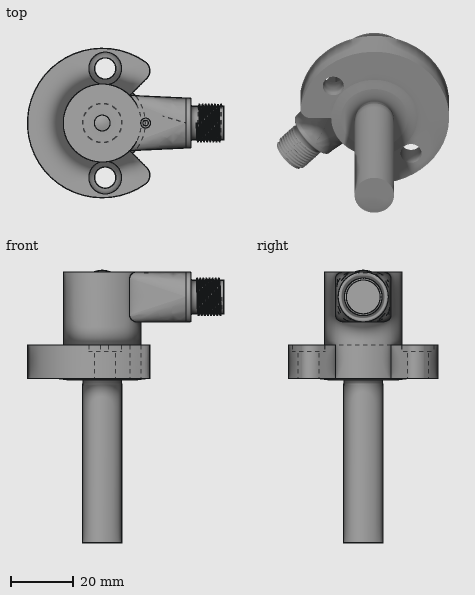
import cadquery as cq
import math

probe_diameter = 12.7
probe_radius = probe_diameter / 2
neck_radius = 6.2
neck_bottom_z = 51.1
neck_taper = 0.6

flange_diameter = 48.0
flange_radius = flange_diameter / 2
flange_bottom_z = 52.6
flange_top_z = 63.45
flange_thickness = flange_top_z - flange_bottom_z
notch_half_angle = 45
ear_tip_radius = 3.5

boss_top_radius = 13.8
boss_bottom_radius = 10.7
boss_height = 0.4

hole_x = 1.0
hole_y = 17.5
hole_diameter = 6.7
counterbore_diameter = 10.5
counterbore_depth = 2.2

total_height = 87.4
housing_radius = 12.5
housing_top_z = 86.9
dome_radius = 2.5

collar_radius = 8.0
outlet_axis_z = housing_top_z - collar_radius
outlet_root_x = 4.4
outlet_root_half_width = 9.1
outlet_root_corner = 0.7
collar_start_x = 26.8
collar_end_x = 28.5
collar_rounding = 0.5
tip_flat = 0.02

ring_x = 13.9
ring_outer_radius = 1.6
ring_inner_radius = 0.9
ring_depth = 0.35

overall_length_x = 63.0
connector_end_x = overall_length_x - flange_radius
connector_radius = 5.4
connector_root_fillet = 0.35
thread_radius = 6.0
thread_start_x = 30.4
thread_turns = 7.75
thread_length = 7.7
thread_pitch = thread_length / thread_turns
thread_base_width = 0.8
thread_crest_width = 0.2
thread_overlap = 0.2


def cylinder(radius, bottom_z, top_z):
    return cq.Workplane("XY").workplane(offset=bottom_z).circle(radius).extrude(top_z - bottom_z)


def plane_across_x(x):
    """Workplane across the outlet, centred on its axis and facing +X."""
    return cq.Workplane(cq.Plane(origin=(x, 0, outlet_axis_z), xDir=(0, 1, 0), normal=(1, 0, 0)))


def cylinder_along_x(radius, start_x, end_x):
    return plane_across_x(start_x).circle(radius).extrude(end_x - start_x)


def make_probe():
    """Rod, neck and the tapered boss under the flange, turned about Z."""
    return (
        cq.Workplane("XZ")
        .moveTo(0, 0)
        .lineTo(probe_radius, 0)
        .lineTo(probe_radius, neck_bottom_z - neck_taper)
        .lineTo(neck_radius, neck_bottom_z)
        .lineTo(neck_radius, flange_bottom_z - boss_height)
        .lineTo(boss_bottom_radius, flange_bottom_z - boss_height)
        .lineTo(boss_top_radius, flange_bottom_z)
        .lineTo(0, flange_bottom_z)
        .close()
        .revolve(360, (0, 0), (0, 1))
    )


def make_flange():
    """Notched disc with rounded ear tips and counterbored holes."""
    reach = 2 * flange_radius
    notch_y = reach * math.tan(math.radians(notch_half_angle))
    notch = (
        cq.Workplane("XY")
        .workplane(offset=flange_bottom_z)
        .polyline([(0, 0), (reach, -notch_y), (reach, notch_y)])
        .close()
        .extrude(flange_thickness)
    )
    flange = cylinder(flange_radius, flange_bottom_z, flange_top_z).cut(notch)
    ear_tips = cq.selectors.BoxSelector(
        (housing_radius, -flange_radius, flange_bottom_z),
        (flange_radius, flange_radius, flange_top_z),
    )
    flange = flange.edges("|Z").edges(ear_tips).fillet(ear_tip_radius)
    return (
        flange.faces(">Z")
        .workplane(origin=(0, 0, flange_top_z))
        .pushPoints([(hole_x, -hole_y), (hole_x, hole_y)])
        .cboreHole(hole_diameter, counterbore_diameter, counterbore_depth)
    )


def make_dome():
    """Spherical cap standing on the housing."""
    height = total_height - housing_top_z
    sphere_radius = (dome_radius**2 + height**2) / (2 * height)
    sphere_z = total_height - sphere_radius
    middle = (dome_radius / 2, sphere_z + math.sqrt(sphere_radius**2 - (dome_radius / 2) ** 2))
    return (
        cq.Workplane("XZ")
        .moveTo(0, housing_top_z)
        .lineTo(dome_radius, housing_top_z)
        .threePointArc(middle, (0, total_height))
        .close()
        .revolve(360, (0, 0), (0, 1))
    )


def rounded_section(half_width, corner):
    """Rounded rectangle as tall as the collar."""
    return cq.Sketch().rect(2 * half_width, 2 * collar_radius).vertices().fillet(corner)


def make_outlet():
    """Straight-sided blend whose four flats run out to points at a round collar."""
    root = rounded_section(outlet_root_half_width, outlet_root_corner)
    tip = rounded_section(collar_radius, collar_radius - tip_flat)
    length = collar_start_x - outlet_root_x
    body = (
        plane_across_x(outlet_root_x)
        .placeSketch(root, tip.moved(cq.Location(cq.Vector(0, 0, length))))
        .loft(ruled=True)
    )
    collar = cylinder_along_x(collar_radius, collar_start_x, collar_end_x)
    return body.union(collar.faces(">X").edges().fillet(collar_rounding))


def make_ring_groove():
    """Shallow annular groove, leaving a round land in its middle."""
    bottom_z = housing_top_z - ring_depth
    ring = cylinder(ring_outer_radius, bottom_z, housing_top_z)
    ring = ring.cut(cylinder(ring_inner_radius, bottom_z, housing_top_z))
    return ring.translate((ring_x, 0, 0))


def make_thread():
    """Helical ridge of trapezoidal section around the X axis."""
    root_radius = connector_radius - thread_overlap
    helix = cq.Wire.makeHelix(thread_pitch, thread_length, root_radius)
    ridge = (
        cq.Workplane("XZ")
        .polyline(
            [
                (root_radius, -thread_base_width / 2),
                (thread_radius, -thread_crest_width / 2),
                (thread_radius, thread_crest_width / 2),
                (root_radius, thread_base_width / 2),
            ]
        )
        .close()
        .sweep(cq.Workplane(helix), isFrenet=True)
    )
    ridge = ridge.rotate((0, 0, 0), (0, 0, 1), 180).rotate((0, 0, 0), (0, 1, 0), 90)
    return ridge.translate((thread_start_x, 0, outlet_axis_z))


def make_connector():
    """Threaded stub standing on a disc inside the collar, with a rounded root."""
    foot = cylinder_along_x(collar_radius - collar_rounding, collar_start_x, collar_end_x)
    stub = cylinder_along_x(connector_radius, collar_start_x, connector_end_x)
    root_edge = cq.selectors.RadiusNthSelector(0)
    stepped = foot.union(stub)
    stepped = stepped.faces("<X[-2]").edges(root_edge).fillet(connector_root_fillet)
    return stepped.union(make_thread())


result = (
    make_flange()
    .union(make_probe())
    .union(cylinder(housing_radius, flange_bottom_z, housing_top_z))
    .union(make_outlet())
    .union(make_dome())
    .cut(make_ring_groove())
    .union(make_connector())
)